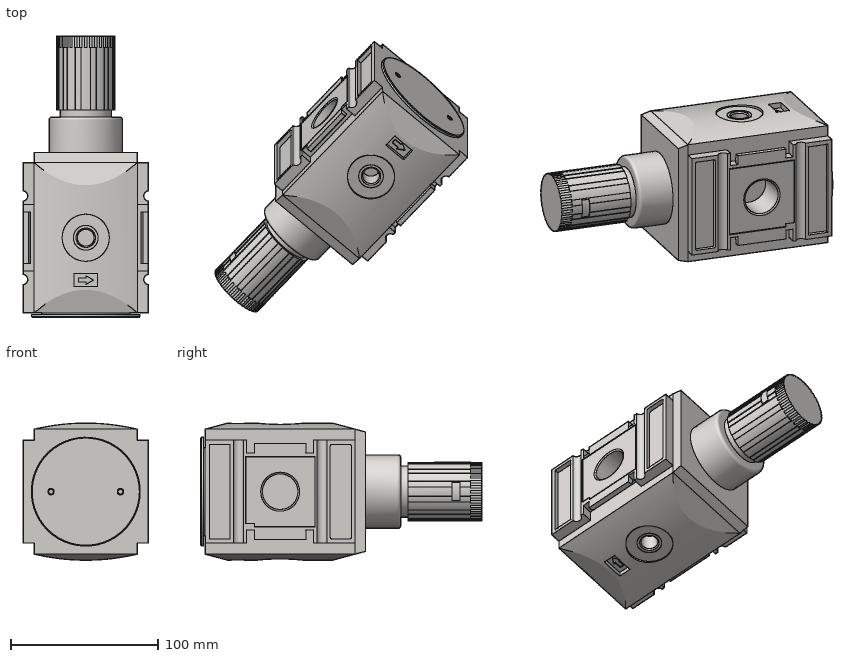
import cadquery as cq
import math


core_width = 70.0
flat_height = 85.0
crown_radius = 150.0
block_end = 51.0
shoulder_length = 7.0
slope_angle = 15.0
core_half = core_width / 2
flat_half = flat_height / 2
crown_rise = crown_radius - math.sqrt(crown_radius**2 - core_half**2)
crown_half = flat_half + crown_rise
shoulder_end = block_end + shoulder_length
slope = math.tan(math.radians(slope_angle))

overall_width = 85.0
flange_height = 70.0
side_x = overall_width / 2
groove_radius = 3.5
groove_y = 28.4
groove_axis_offset = 0.5
window_half = 22.75
window_floor_z = 26.2
tab_length = 35.0
tab_half_height = 32.6
tab_top_thickness = 3.5
tab_base_thickness = 4.9
side_pocket_depth = 3.0
side_pocket_height = 64.0
upper_pocket_y = (34.0, 48.4)
lower_pocket_y = (-48.0, -34.0)
upper_pocket_corner_radius = 1.0

seal_length = 47.4
seal_height = 48.0
seal_depth = 0.2
seal_ledge_width = 0.45
seal_step_length = 6.3
seal_step_height = 2.4

side_port_diameter = 24.12
side_port_mouth = 26.44
side_port_mouth_depth = 0.7
side_port_depth = 24.0
gauge_port_diameter = 11.45
gauge_port_mouth = 13.16
gauge_port_mouth_depth = 0.85
gauge_ring_diameter = 16.8
gauge_ring_depth = 0.3
gauge_port_depth = 14.0
spotface_diameter = 32.0
spotface_z = 45.0

arrow_pocket_length = 16.0
arrow_pocket_width = 9.0
arrow_pocket_depth = 4.0
arrow_y = -28.75
arrow_depth = 1.0
arrow_tail_x = -5.0
arrow_neck_x = 0.3
arrow_tip_x = 5.2
arrow_shaft_half = 1.45
arrow_head_half = 2.9

cap_diameter = 74.0
cap_thickness = 2.0
cap_chamfer = 0.6
cap_neck_diameter = 60.0
cap_neck_length = 1.0
pin_hole_diameter = 3.2
pin_hole_mouth = 4.4
pin_hole_mouth_depth = 0.6
pin_hole_spacing = 47.2
pin_hole_depth = 2.5

collar_diameter = 50.0
collar_end = 82.0
collar_fillet = 2.0
neck_diameter = 35.0

knob_start = 86.7
knob_end = 137.0
knob_diameter = 40.0
crown_ring_length = 7.7
flute_count = 36
flute_width_angle = 5.0
flute_radius = 1.0
rib_count = 12
rib_angle = 18.2
rib_height = 0.5
pad_overlap = 0.5
mark_length = 5.3
mark_width = 12.3
mark_depth = 0.25
mark_end = 122.0
knob_radius = knob_diameter / 2
grip_end = knob_end - crown_ring_length


def box_between(x_range, y_range, z_range):
    """Box given by its limits along each axis."""
    size = [high - low for low, high in (x_range, y_range, z_range)]
    corner = (x_range[0], y_range[0], z_range[0])
    return cq.Workplane("XY").box(*size, centered=False).translate(corner)


def cylinder_y(diameter, y_start, y_end):
    """Cylinder on the knob axis between two Y positions."""
    plane = cq.Workplane("XZ", origin=(0, y_start, 0))
    return plane.circle(diameter / 2).extrude(y_start - y_end)


def mirrored_pair(shape, plane):
    """The shape together with its mirror image."""
    return shape.union(shape.mirror(plane))


def bore(diameter, mouth_diameter, mouth_depth, depth):
    """Blind hole from the origin down -Z with a conical mouth."""
    radius = diameter / 2
    return (
        cq.Workplane("XZ")
        .moveTo(0, 0)
        .lineTo(mouth_diameter / 2, 0)
        .lineTo(radius, -mouth_depth)
        .lineTo(radius, -depth)
        .lineTo(0, -depth)
        .close()
        .revolve(360, (0, 0, 0), (0, 1, 0))
    )


def make_column():
    """Whole column with crowned upper and lower faces, sloped towards both ends."""
    crowned = (
        cq.Workplane("XZ", origin=(0, shoulder_end, 0))
        .moveTo(-core_half, -flat_half)
        .threePointArc((0, -crown_half), (core_half, -flat_half))
        .lineTo(core_half, flat_half)
        .threePointArc((0, crown_half), (-core_half, flat_half))
        .close()
        .extrude(shoulder_end + block_end)
    )
    shoulder_z = flat_half - shoulder_length * slope
    ridge_z = flat_half + block_end * slope
    side_profile = (
        cq.Workplane("YZ", origin=(-core_half, 0, 0))
        .polyline([
            (-block_end, -flat_half),
            (0, -ridge_z),
            (shoulder_end, -shoulder_z),
            (shoulder_end, shoulder_z),
            (0, ridge_z),
            (-block_end, flat_half),
        ])
        .close()
        .extrude(core_width)
    )
    return crowned.intersect(side_profile)


def make_column_part(y_start, y_end):
    """Stretch of the column between two Y positions."""
    slab = box_between((-core_half, core_half), (y_start, y_end), (-crown_half, crown_half))
    return make_column().intersect(slab)


def make_tab():
    """Tab on the -X flange with an inner face that slopes outwards to its top."""
    return (
        cq.Workplane("XZ", origin=(0, tab_length / 2, 0))
        .polyline([
            (-side_x, window_floor_z),
            (-side_x + tab_base_thickness, window_floor_z),
            (-side_x + tab_top_thickness, tab_half_height),
            (-side_x, tab_half_height),
        ])
        .close()
        .extrude(tab_length)
    )


def make_seal_recess():
    """Cutter for the recess in the -X face, with a narrow ledge and one corner stepped inwards."""
    half_length = seal_length / 2
    half_height = seal_height / 2
    floor_x = -side_x + seal_depth
    ledge_x = -side_x + seal_depth / 2
    floor_half_height = half_height - seal_ledge_width
    ledge = box_between(
        (-side_x, ledge_x), (-half_length, half_length), (-half_height, half_height)
    )
    floor = box_between(
        (-side_x, floor_x),
        (-half_length + seal_ledge_width, half_length),
        (-floor_half_height, floor_half_height),
    )
    corner = box_between(
        (-side_x, floor_x),
        (-half_length, -half_length + seal_step_length),
        (-half_height, -half_height + seal_step_height),
    )
    return ledge.union(floor).cut(corner)


def make_flange():
    """Mounting flange on the -X side, with its grooves, tabs and pockets."""
    half_height = flange_height / 2
    outer_x = (-side_x, -core_half)
    flange = box_between(outer_x, (-block_end, block_end), (-half_height, half_height))

    window = box_between(outer_x, (-window_half, window_half), (window_floor_z, half_height))
    flange = flange.cut(mirrored_pair(window, "XY"))
    tab = make_tab()
    flange = flange.union(tab).union(tab.mirror("XY"))

    for y in (groove_y, -groove_y):
        axis = cq.Workplane("XY", origin=(-side_x - groove_axis_offset, y, -half_height))
        flange = flange.cut(axis.circle(groove_radius).extrude(flange_height))

    pocket_x = (-side_x, -side_x + side_pocket_depth)
    pocket_z = (-side_pocket_height / 2, side_pocket_height / 2)
    upper_pocket = box_between(pocket_x, upper_pocket_y, pocket_z)
    upper_pocket = upper_pocket.edges("|X").fillet(upper_pocket_corner_radius)
    lower_pocket = box_between(pocket_x, lower_pocket_y, pocket_z)
    return flange.cut(upper_pocket).cut(lower_pocket).cut(make_seal_recess())


def make_side_port():
    """Cutter for the port in the floor of the -X seal recess."""
    port = bore(side_port_diameter, side_port_mouth, side_port_mouth_depth, side_port_depth)
    return port.rotate((0, 0, 0), (0, 1, 0), -90).translate((-side_x + seal_depth, 0, 0))


def make_gauge_port():
    """Cutter for the upper gauge port with its spotface and shallow ring."""
    plane = cq.Workplane("XY", origin=(0, 0, spotface_z))
    spotface = plane.circle(spotface_diameter / 2).extrude(crown_half - spotface_z)
    ring = plane.circle(gauge_ring_diameter / 2).extrude(-gauge_ring_depth)
    hole = bore(gauge_port_diameter, gauge_port_mouth, gauge_port_mouth_depth, gauge_port_depth)
    hole = hole.translate((0, 0, spotface_z - gauge_ring_depth))
    return spotface.union(ring).union(hole)


def make_arrow_pocket():
    """Cutter for the upper pocket with a flow arrow sunk into its floor."""
    floor_z = crown_half - arrow_pocket_depth
    plane = cq.Workplane("XY", origin=(0, arrow_y, floor_z))
    pocket = plane.rect(arrow_pocket_length, arrow_pocket_width).extrude(arrow_pocket_depth)
    arrow = (
        plane.polyline([
            (arrow_tail_x, -arrow_shaft_half),
            (arrow_neck_x, -arrow_shaft_half),
            (arrow_neck_x, -arrow_head_half),
            (arrow_tip_x, 0),
            (arrow_neck_x, arrow_head_half),
            (arrow_neck_x, arrow_shaft_half),
            (arrow_tail_x, arrow_shaft_half),
        ])
        .close()
        .extrude(-arrow_depth)
    )
    return pocket.union(arrow)


def make_end_cap():
    """Round cap on a short neck at the -Y end, with two spanner holes."""
    cap_inner = -block_end - cap_neck_length
    cap_outer = cap_inner - cap_thickness
    cap = cylinder_y(cap_diameter, cap_outer, cap_inner).faces("<Y").chamfer(cap_chamfer)
    cap = cap.union(cylinder_y(cap_neck_diameter, cap_inner, -block_end))
    pin_hole = bore(pin_hole_diameter, pin_hole_mouth, pin_hole_mouth_depth, pin_hole_depth)
    pin_hole = pin_hole.rotate((0, 0, 0), (1, 0, 0), 90)
    for x in (-pin_hole_spacing / 2, pin_hole_spacing / 2):
        cap = cap.cut(pin_hole.translate((x, cap_outer, 0)))
    return cap


def make_housing():
    flange = make_flange()
    side_port = make_side_port()
    gauge_port = make_gauge_port()
    body = make_column_part(-block_end, block_end).union(flange).union(flange.mirror("YZ"))
    body = body.union(make_end_cap())
    body = body.cut(side_port).cut(side_port.mirror("YZ"))
    body = body.cut(gauge_port).cut(gauge_port.mirror("XY"))
    arrow_pocket = make_arrow_pocket()
    return body.cut(arrow_pocket).cut(arrow_pocket.mirror("XY"))


def make_collar():
    """Collar and neck that carry the knob."""
    collar = cylinder_y(collar_diameter, shoulder_end, collar_end)
    collar = collar.faces(">Y").edges().fillet(collar_fillet)
    return collar.union(cylinder_y(neck_diameter, collar_end, knob_start))


def make_grip():
    """Knob grip with wide ribs that stand slightly above the grooves between them."""
    pitch = 360 / rib_count
    root_radius = knob_radius - rib_height

    def point(radius, degrees):
        angle = math.radians(degrees)
        return (radius * math.sin(angle), radius * math.cos(angle))

    outline = cq.Workplane("XZ", origin=(0, grip_end, 0)).moveTo(*point(knob_radius, -rib_angle / 2))
    for index in range(rib_count):
        rib_middle = index * pitch
        rib_finish = rib_middle + rib_angle / 2
        next_rib = rib_middle + pitch - rib_angle / 2
        groove_middle = rib_middle + pitch / 2
        outline = (
            outline.threePointArc(point(knob_radius, rib_middle), point(knob_radius, rib_finish))
            .lineTo(*point(root_radius, rib_finish))
            .threePointArc(
                point(root_radius, groove_middle), point(root_radius, next_rib)
            )
            .lineTo(*point(knob_radius, next_rib))
        )
    return outline.close().extrude(grip_end - knob_start)


def make_crown_ring():
    """Finely fluted ring at the free end of the knob."""
    half_angle = math.radians(flute_width_angle / 2)
    half_chord = knob_radius * math.sin(half_angle)
    flute_axis = knob_radius * math.cos(half_angle) + math.sqrt(flute_radius**2 - half_chord**2)
    flutes = (
        cq.Workplane("XZ", origin=(0, knob_end, 0))
        .polarArray(flute_axis, 0, 360, flute_count)
        .circle(flute_radius)
        .extrude(crown_ring_length)
    )
    return cylinder_y(knob_diameter, grip_end, knob_end).cut(flutes)


def add_indicator_pads(grip):
    """Level the grip to a curved pad, below the ribs and above the grooves, on its X sides."""
    mark_start = mark_end - mark_length
    seat_radius = knob_radius - rib_height - pad_overlap
    pad_surface = cylinder_y(knob_diameter - 2 * mark_depth, mark_start, mark_end)
    half_width = mark_width / 2
    inner_x = math.sqrt(seat_radius**2 - half_width**2)
    block = box_between((-knob_radius, -inner_x), (mark_start, mark_end), (-half_width, half_width))
    blocks = mirrored_pair(block, "YZ")
    return grip.cut(blocks).union(blocks.intersect(pad_surface))


def make_adjuster():
    shoulder = make_column_part(block_end, shoulder_end)
    grip = add_indicator_pads(make_grip())
    return shoulder.union(make_collar()).union(grip).union(make_crown_ring(), clean=False)


housing = make_housing()
adjuster = make_adjuster()
result = cq.Compound.makeCompound([housing.solids().val(), adjuster.solids().val()])